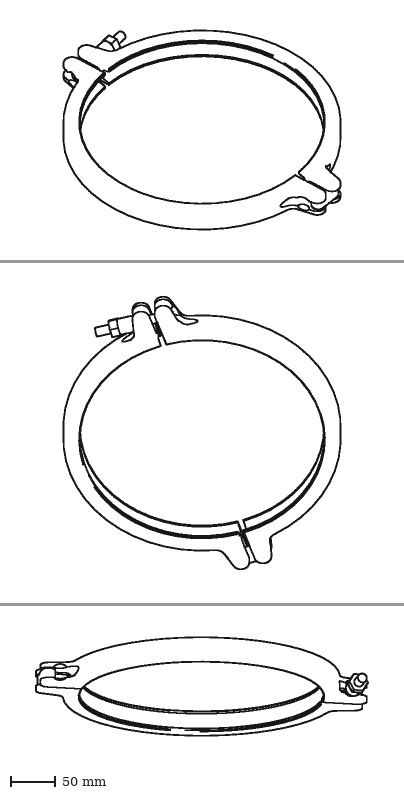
import cadquery as cq
import math

OUTER_RADIUS = 314.0 / 2
INNER_RADIUS = 138.0
THICKNESS = 24.0
HALF_GAP = 3.5
EDGE_ROUND = 1.0

GROOVE_RADIUS = 146.3
GROOVE_MOUTH_HALF = 8.5
GROOVE_FLANK_ANGLE = 15
GROOVE_CORNER_ROUND = 2.0
GROOVE_FLOOR_HALF = (
    GROOVE_MOUTH_HALF
    - (GROOVE_RADIUS - INNER_RADIUS) * math.tan(math.radians(GROOVE_FLANK_ANGLE))
)

EAR_TIP_X = 188.0
EAR_TIP_RADIUS = 9.8
EAR_TIP_CENTRE_X = EAR_TIP_X - EAR_TIP_RADIUS
EAR_TIP_CENTRE_Y = HALF_GAP + EAR_TIP_RADIUS
EAR_SLOPE = 13.5
EAR_FILLET = 11.3
EAR_ROOT_X = 144.8

SLOT_HEIGHT = 12.0
SLOT_END_X = 150.5

PIN_RADIUS = 3.57
PIN_LENGTH = 25.2
PIN_DOME = (PIN_LENGTH - THICKNESS) / 2
DOME_RADIUS = (PIN_RADIUS**2 + PIN_DOME**2) / (2 * PIN_DOME)
HINGE_X = 178.5
HINGE_Y = 12.0
BOLT_PIN_X = -168.5
BOLT_PIN_Y = -13.0

LINK_RADIUS = 8.0
LINK_ROUND = 1.0

BOLT_TILT = 2.5
EYE_RADIUS = 8.0
EYE_HEIGHT = 11.3
ROD_RADIUS = 5.3
ROD_END = 82.0
COLLAR_RADIUS = 18.5 / 2
COLLAR_BALL = 41.0
NUT_START = 55.0
NUT_END = 64.5
NUT_FLATS = 18.8

SEAT_RADIUS = 9.8
SEAT_X = -BOLT_PIN_X
SEAT_Y = COLLAR_BALL * math.cos(math.radians(BOLT_TILT)) + BOLT_PIN_Y


def ear_blank(side):
    """Flat plate of one ear of the half at +Y; side is -1 or +1 along X."""
    slope = math.radians(EAR_SLOPE)
    tangent_x = EAR_TIP_CENTRE_X + EAR_TIP_RADIUS * math.sin(slope)
    tangent_y = EAR_TIP_CENTRE_Y + EAR_TIP_RADIUS * math.cos(slope)
    root_y = tangent_y + (tangent_x - EAR_ROOT_X) * math.tan(slope)
    return (
        cq.Workplane("XY", origin=(0, 0, -THICKNESS / 2))
        .moveTo(side * EAR_ROOT_X, HALF_GAP)
        .lineTo(side * EAR_TIP_CENTRE_X, HALF_GAP)
        .threePointArc((side * EAR_TIP_X, EAR_TIP_CENTRE_Y), (side * tangent_x, tangent_y))
        .lineTo(side * EAR_ROOT_X, root_y)
        .close()
        .extrude(THICKNESS)
    )


def ear_corner(side):
    """Point where the sloping side of an ear meets the outside of the ring."""
    slope = math.radians(EAR_SLOPE)
    line_offset = (
        EAR_TIP_CENTRE_X * math.sin(slope) + EAR_TIP_CENTRE_Y * math.cos(slope) + EAR_TIP_RADIUS
    )
    angle = math.asin(line_offset / OUTER_RADIUS) - slope
    return (side * OUTER_RADIUS * math.cos(angle), OUTER_RADIUS * math.sin(angle), 0)


def half_blank():
    """Half ring with both ears, rounded along its upper and lower outlines."""
    keep = (
        cq.Workplane("XY")
        .box(2 * OUTER_RADIUS, OUTER_RADIUS, THICKNESS, centered=(True, False, True))
        .translate((0, HALF_GAP, 0))
    )
    blank = (
        cq.Workplane("XY", origin=(0, 0, -THICKNESS / 2))
        .circle(OUTER_RADIUS)
        .circle(INNER_RADIUS)
        .extrude(THICKNESS)
        .intersect(keep)
    )
    for side in (-1, 1):
        blank = blank.union(ear_blank(side))
    for side in (-1, 1):
        corner = cq.selectors.NearestToPointSelector(ear_corner(side))
        blank = blank.edges("|Z").edges(corner).fillet(EAR_FILLET)
    return blank.faces("<Z or >Z").edges().fillet(EDGE_ROUND)


def groove():
    """Ring of tapered section cut round the inside of the clamp."""
    return (
        cq.Workplane("XZ")
        .polyline([
            (0, -GROOVE_MOUTH_HALF),
            (INNER_RADIUS, -GROOVE_MOUTH_HALF),
            (GROOVE_RADIUS, -GROOVE_FLOOR_HALF),
            (GROOVE_RADIUS, GROOVE_FLOOR_HALF),
            (INNER_RADIUS, GROOVE_MOUTH_HALF),
            (0, GROOVE_MOUTH_HALF),
        ])
        .close()
        .revolve(360, (0, 0), (0, 1))
        .edges(cq.selectors.RadiusNthSelector(-1))
        .fillet(GROOVE_CORNER_ROUND)
    )


def ear_slot(side):
    """Round-ended slot through the ears, along Y."""
    slot_length = 2 * (EAR_TIP_X - SLOT_END_X)
    return (
        cq.Workplane("XZ", origin=(side * EAR_TIP_X, 0, 0))
        .slot2D(slot_length, SLOT_HEIGHT)
        .extrude(-OUTER_RADIUS)
    )


def collar_seat(side):
    """Ball-ended recess along Y in the outer side of an ear."""
    bore = cq.Workplane("XZ").circle(SEAT_RADIUS).extrude(-OUTER_RADIUS)
    seat = bore.union(cq.Workplane("XY").sphere(SEAT_RADIUS))
    return seat.translate((side * SEAT_X, SEAT_Y, 0))


def clamp_half():
    """The half at +Y, without pins."""
    half = half_blank().cut(groove())
    for side in (-1, 1):
        half = half.cut(ear_slot(side)).cut(collar_seat(side))
    return half


def pin(x, y):
    """Upright pin with domed ends."""
    shank = cq.Workplane("XY").circle(PIN_RADIUS).extrude(THICKNESS / 2, both=True)
    dome = (
        cq.Workplane("XZ", origin=(0, 0, THICKNESS / 2))
        .lineTo(PIN_RADIUS, 0)
        .radiusArc((0, PIN_DOME), -DOME_RADIUS)
        .close()
        .revolve(360, (0, 0), (0, 1))
    )
    return shank.union(dome).union(dome.mirror("XY")).translate((x, y, 0))


def hinge_link():
    """Round-ended bar with rounded edges from one hinge pin to the other."""
    return (
        cq.Workplane("XY", origin=(HINGE_X, 0, -SLOT_HEIGHT / 2))
        .slot2D(2 * (HINGE_Y + LINK_RADIUS), 2 * LINK_RADIUS, 90)
        .extrude(SLOT_HEIGHT)
        .faces("<Z or >Z")
        .edges()
        .fillet(LINK_ROUND)
    )


def eye_bolt():
    """Bolt with a ball eye, a nut and a ball-ended collar, tilted about its pin."""
    across_corners = NUT_FLATS / math.cos(math.pi / 6)

    def along_bolt(start):
        return cq.Workplane("XZ", origin=(0, start, 0))

    flats = cq.Workplane("XY").box(2 * EYE_RADIUS, 2 * EYE_RADIUS, EYE_HEIGHT)
    eye = cq.Workplane("XY").sphere(EYE_RADIUS).intersect(flats)
    rod = along_bolt(0).circle(ROD_RADIUS).extrude(-ROD_END)
    collar_ball = cq.Workplane("XY", origin=(0, COLLAR_BALL, 0)).sphere(COLLAR_RADIUS)
    collar = (
        along_bolt(COLLAR_BALL)
        .circle(COLLAR_RADIUS)
        .extrude(COLLAR_BALL - NUT_START)
        .union(collar_ball)
    )
    nut = along_bolt(NUT_START).polygon(6, across_corners).extrude(NUT_START - NUT_END)
    bolt = eye.union(rod).union(collar).union(nut)
    bolt = bolt.rotate((0, 0, 0), (0, 0, 1), BOLT_TILT)
    return bolt.translate((BOLT_PIN_X, BOLT_PIN_Y, 0))


bolt_pin = pin(BOLT_PIN_X, BOLT_PIN_Y)
bolt = eye_bolt().cut(bolt_pin)

upper_pin = pin(HINGE_X, HINGE_Y)
upper_half = clamp_half().cut(bolt).union(upper_pin)

lower_pin = pin(HINGE_X, -HINGE_Y)
link = hinge_link().cut(upper_pin)
lower_half = clamp_half().mirror("XZ").union(bolt_pin).union(lower_pin).union(link)

result = cq.Compound.makeCompound([upper_half.val(), lower_half.val(), bolt.val()])